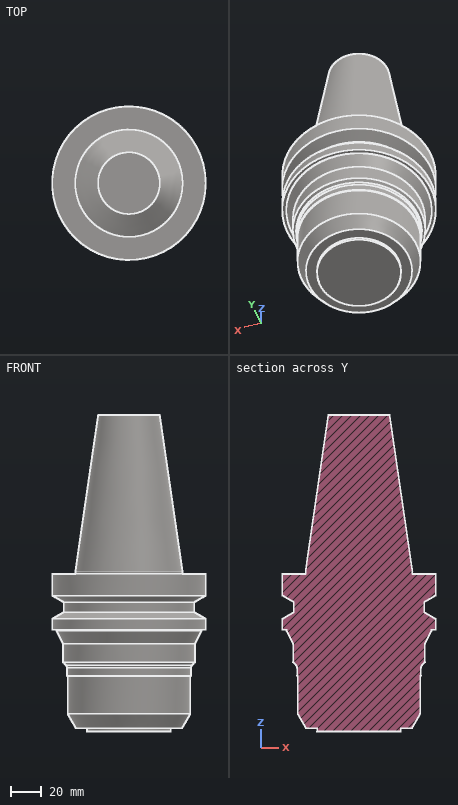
import cadquery as cq
import math


GAUGE_DIAMETER = 69.85
TAPER_LENGTH = 101.8
TAPER_RATIO = 7 / 24

FLANGE_DIAMETER = 100.0
FLANGE_TOP_Z = -1.5
FLANGE_BOTTOM_Z = -38.0
GROOVE_CENTRE_Z = -23.2
GROOVE_ROOT_DIAMETER = 85.0
GROOVE_ROOT_WIDTH = 6.4
GROOVE_WALL_ANGLE = 30.0

NECK_DIAMETER = 94.6
NECK_LENGTH = 0.4
SHOULDER_DIAMETER = 86.0
SHOULDER_TOP_Z = -47.0
SHOULDER_BOTTOM_Z = -58.95

CHAMFER_END_DIAMETER = 82.0

COLLAR_DIAMETER = 80.7
COLLAR_TOP_Z = -62.5
COLLAR_BOTTOM_Z = -68.2
BODY_DIAMETER = 80.0
BODY_BOTTOM_Z = -92.5
NOSE_DIAMETER = 69.0
NOSE_CONE_ANGLE = 30.0
BOSS_DIAMETER = 54.67
END_Z = -104.0


def turned(sections):
    """Solid of revolution about Z through (diameter, z) corners listed from top to bottom."""
    corners = [(diameter / 2, z) for diameter, z in sections]
    top_z = corners[0][1]
    bottom_z = corners[-1][1]
    outline = cq.Workplane("XZ").polyline([(0, top_z)] + corners + [(0, bottom_z)]).close()
    return outline.revolve(360, (0, 0, 0), (0, 1, 0))


def shank():
    small_diameter = GAUGE_DIAMETER - TAPER_LENGTH * TAPER_RATIO
    return turned([
        (small_diameter, TAPER_LENGTH),
        (GAUGE_DIAMETER, 0),
        (GAUGE_DIAMETER, FLANGE_TOP_Z),
    ])


def flange():
    groove_depth = (FLANGE_DIAMETER - GROOVE_ROOT_DIAMETER) / 2
    root_half_width = GROOVE_ROOT_WIDTH / 2
    mouth_half_width = root_half_width + groove_depth * math.tan(math.radians(GROOVE_WALL_ANGLE))
    return turned([
        (FLANGE_DIAMETER, FLANGE_TOP_Z),
        (FLANGE_DIAMETER, GROOVE_CENTRE_Z + mouth_half_width),
        (GROOVE_ROOT_DIAMETER, GROOVE_CENTRE_Z + root_half_width),
        (GROOVE_ROOT_DIAMETER, GROOVE_CENTRE_Z - root_half_width),
        (FLANGE_DIAMETER, GROOVE_CENTRE_Z - mouth_half_width),
        (FLANGE_DIAMETER, FLANGE_BOTTOM_Z),
    ])


def shoulder():
    chamfer_depth = (SHOULDER_DIAMETER - CHAMFER_END_DIAMETER) / 2
    return turned([
        (NECK_DIAMETER, FLANGE_BOTTOM_Z),
        (NECK_DIAMETER, FLANGE_BOTTOM_Z - NECK_LENGTH),
        (SHOULDER_DIAMETER, SHOULDER_TOP_Z),
        (SHOULDER_DIAMETER, SHOULDER_BOTTOM_Z),
        (CHAMFER_END_DIAMETER, SHOULDER_BOTTOM_Z - chamfer_depth),
        (COLLAR_DIAMETER, COLLAR_TOP_Z),
    ])


def nose():
    collar_chamfer = (COLLAR_DIAMETER - BODY_DIAMETER) / 2
    nose_cone_depth = (BODY_DIAMETER - NOSE_DIAMETER) / 2
    nose_face_z = BODY_BOTTOM_Z - nose_cone_depth / math.tan(math.radians(NOSE_CONE_ANGLE))
    return turned([
        (COLLAR_DIAMETER, COLLAR_TOP_Z),
        (COLLAR_DIAMETER, COLLAR_BOTTOM_Z + collar_chamfer),
        (BODY_DIAMETER, COLLAR_BOTTOM_Z),
        (BODY_DIAMETER, BODY_BOTTOM_Z),
        (NOSE_DIAMETER, nose_face_z),
        (BOSS_DIAMETER, nose_face_z),
        (BOSS_DIAMETER, END_Z),
    ])


result = shank().union(flange()).union(shoulder()).union(nose())